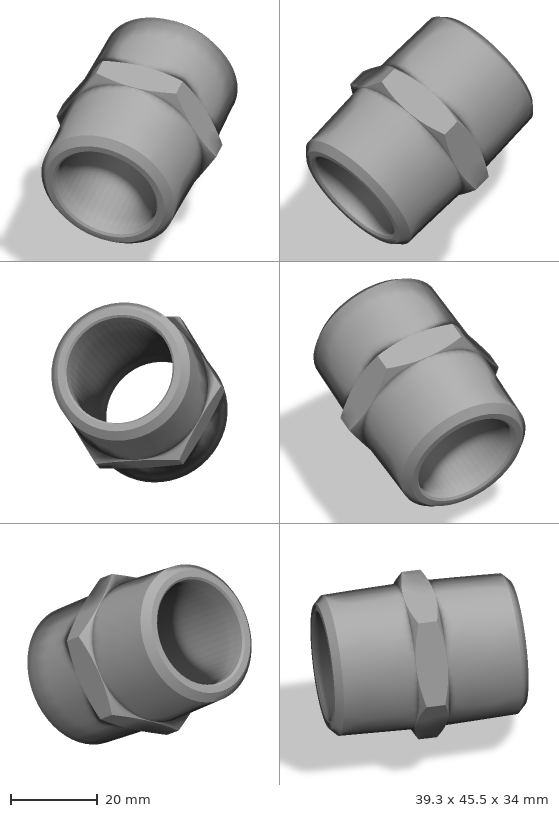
import cadquery as cq
import math

total_length = 45.5
hex_sides = 6
hex_across_flats = 34.0
hex_width = 7.5
hex_chamfer_angle = 30.0
bore_diameter = 25.0
bore_chamfer = 0.5
thread_root_diameter = 33.8
thread_taper = 1 / 16
tip_chamfer = 1.8

half_length = total_length / 2
hex_half_width = hex_width / 2
hex_corner_radius = hex_across_flats / 2 / math.cos(math.pi / hex_sides)
thread_root_radius = thread_root_diameter / 2
hex_face_radius = thread_root_radius
hex_chamfer_tangent = math.tan(math.radians(hex_chamfer_angle))
hex_chamfer_depth = (hex_corner_radius - hex_face_radius) * hex_chamfer_tangent
bore_radius = bore_diameter / 2
bore_mouth_radius = bore_radius + bore_chamfer
thread_length = half_length - tip_chamfer - hex_half_width
thread_tip_radius = thread_root_radius - thread_length * thread_taper / 2


def revolve_about_y(profile_points):
    """Revolve a closed (radius, y) outline, drawn in the YZ plane, about the Y axis."""
    outline = [(y, radius) for radius, y in profile_points]
    return cq.Workplane("YZ").polyline(outline).close().revolve(360, (0, 0), (1, 0))


def make_hex_collar():
    """Central hexagon, corners on X, with both faces chamfered to a circle."""
    prism = (
        cq.Workplane("XZ")
        .polygon(hex_sides, 2 * hex_corner_radius)
        .extrude(hex_half_width, both=True)
    )
    chamfer_start = hex_half_width - hex_chamfer_depth
    chamfer_envelope = revolve_about_y([
        (0, -hex_half_width),
        (hex_face_radius, -hex_half_width),
        (hex_corner_radius, -chamfer_start),
        (hex_corner_radius, chamfer_start),
        (hex_face_radius, hex_half_width),
        (0, hex_half_width),
    ])
    return prism.intersect(chamfer_envelope)


def make_threaded_end(side):
    """Tapered end with a chamfered tip, reaching from the part centre to side * half_length."""
    return revolve_about_y([
        (0, 0),
        (thread_root_radius, 0),
        (thread_root_radius, side * hex_half_width),
        (thread_tip_radius, side * (half_length - tip_chamfer)),
        (thread_tip_radius - tip_chamfer, side * half_length),
        (0, side * half_length),
    ])


def make_bore():
    """Through bore with a chamfered mouth at each end."""
    return revolve_about_y([
        (0, -half_length),
        (bore_mouth_radius, -half_length),
        (bore_radius, bore_chamfer - half_length),
        (bore_radius, half_length - bore_chamfer),
        (bore_mouth_radius, half_length),
        (0, half_length),
    ])


body = make_hex_collar()
for side in (-1, 1):
    body = body.union(make_threaded_end(side))

result = body.cut(make_bore())